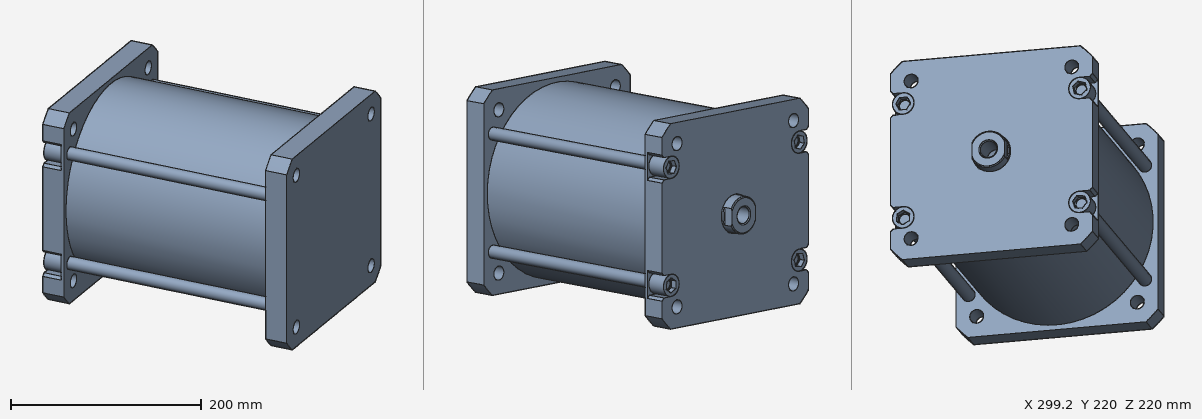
import cadquery as cq
import math

TOTAL_LENGTH = 299.2
PLATE_SIZE = 220.0
PLATE_THICKNESS = 24.8
CORNER_RADIUS = 146.5
MOUNT_HOLE_OFFSET = 87.5
MOUNT_HOLE_DIAMETER = 15.0

BARREL_DIAMETER = 209.5

ROD_PROTRUSION = 12.5
ROD_DIAMETER = 40.0
ROD_CHAMFER = 1.2
ROD_BORE_DIAMETER = 42.0
FLAT_WIDTH = 35.3
FLAT_LENGTH = 10.2
FLAT_SHOULDER_CHAMFER = 1.2
TAP_DIAMETER = 18.0
TAP_DEPTH = 36.0
TAP_CHAMFER = 1.2
DRILL_POINT_ANGLE = 118.0

BOLT_Y = 96.0
BOLT_Z = 63.0
BOLT_DIAMETER = 14.0
HEAD_DIAMETER = 23.3
HEAD_LENGTH = 21.5
SLOT_CHAMFER = 3.0
SLOT_WIDTH = 24.0
SOCKET_WIDTH = 13.8
SOCKET_DEPTH = 6.5
SOCKET_RELIEF_DIAMETER = 12.0
SOCKET_RELIEF_DEPTH = 1.2
BOLT_PLACES = [(-1, 1, 17.0), (-1, -1, 9.0), (1, 1, 2.0), (1, -1, 32.0)]

FRONT_FACE_X = ROD_PROTRUSION
BARREL_START_X = FRONT_FACE_X + PLATE_THICKNESS
BARREL_END_X = TOTAL_LENGTH - PLATE_THICKNESS
BARREL_LENGTH = BARREL_END_X - BARREL_START_X


def disc(x, diameter, length, y=0.0, z=0.0):
    """Cylinder along +X that starts at x."""
    start = cq.Workplane("YZ", origin=(x, y, z))
    return start.circle(diameter / 2).extrude(length)


def make_plate(x):
    """Square plate with turned corners and four mounting holes."""
    square = cq.Workplane("YZ", origin=(x, 0, 0)).rect(PLATE_SIZE, PLATE_SIZE).extrude(PLATE_THICKNESS)
    plate = square.intersect(disc(x, 2 * CORNER_RADIUS, PLATE_THICKNESS))
    spacing = 2 * MOUNT_HOLE_OFFSET
    holes = (
        cq.Workplane("YZ", origin=(x, 0, 0))
        .rect(spacing, spacing, forConstruction=True)
        .vertices()
        .circle(MOUNT_HOLE_DIAMETER / 2)
        .extrude(PLATE_THICKNESS)
    )
    return plate.cut(holes)


def make_head_slot(side_y, side_z):
    """Side-open pocket for a bolt head, with flared mouth, and its shank hole."""
    half_width = SLOT_WIDTH / 2
    edge_y = PLATE_SIZE / 2
    outline = (
        cq.Workplane("YZ", origin=(FRONT_FACE_X, 0, side_z * BOLT_Z))
        .moveTo(side_y * BOLT_Y, half_width)
        .lineTo(side_y * (edge_y - SLOT_CHAMFER), half_width)
        .lineTo(side_y * edge_y, half_width + SLOT_CHAMFER)
        .lineTo(side_y * edge_y, -half_width - SLOT_CHAMFER)
        .lineTo(side_y * (edge_y - SLOT_CHAMFER), -half_width)
        .lineTo(side_y * BOLT_Y, -half_width)
        .threePointArc((side_y * (BOLT_Y - half_width), 0), (side_y * BOLT_Y, half_width))
        .close()
    )
    pocket = outline.extrude(HEAD_LENGTH)
    shank_hole = disc(FRONT_FACE_X, BOLT_DIAMETER, PLATE_THICKNESS, side_y * BOLT_Y, side_z * BOLT_Z)
    return pocket.union(shank_hole)


def make_front_plate():
    plate = make_plate(FRONT_FACE_X)
    plate = plate.cut(disc(FRONT_FACE_X, ROD_BORE_DIAMETER, PLATE_THICKNESS))
    for side_y, side_z, _ in BOLT_PLACES:
        plate = plate.cut(make_head_slot(side_y, side_z))
    return plate


def make_piston_rod():
    """Rod tip with wrench flats, ending on the barrel."""
    rod = disc(0, ROD_DIAMETER, BARREL_START_X).faces("<X").chamfer(ROD_CHAMFER)

    shoulder = disc(FLAT_LENGTH, ROD_DIAMETER, BARREL_START_X - FLAT_LENGTH)
    shoulder = shoulder.faces("<X").chamfer(FLAT_SHOULDER_CHAMFER)
    flatted = cq.Workplane("XY").box(2 * BARREL_START_X, FLAT_WIDTH, ROD_DIAMETER)
    rod = rod.intersect(flatted.union(shoulder))

    tap_radius = TAP_DIAMETER / 2
    point_length = tap_radius / math.tan(math.radians(DRILL_POINT_ANGLE / 2))
    tapped_hole = (
        cq.Workplane("XY")
        .lineTo(0, tap_radius + TAP_CHAMFER)
        .lineTo(TAP_CHAMFER, tap_radius)
        .lineTo(TAP_DEPTH - point_length, tap_radius)
        .lineTo(TAP_DEPTH, 0)
        .close()
        .revolve(360, (0, 0, 0), (1, 0, 0))
    )
    return rod.cut(tapped_hole)


def make_tie_bolt(side_y, side_z, socket_turn):
    """Socket-head bolt from the front plate to the rear plate."""
    y = side_y * BOLT_Y
    z = side_z * BOLT_Z
    head = disc(FRONT_FACE_X, HEAD_DIAMETER, HEAD_LENGTH, y, z)
    shank = disc(FRONT_FACE_X, BOLT_DIAMETER, BARREL_END_X - FRONT_FACE_X, y, z)
    corner_diameter = SOCKET_WIDTH / math.cos(math.pi / 6)
    socket = (
        cq.Workplane("YZ", origin=(FRONT_FACE_X, y, z))
        .transformed(rotate=(0, 0, socket_turn))
        .polygon(6, corner_diameter)
        .extrude(SOCKET_DEPTH)
    )
    relief = disc(FRONT_FACE_X + SOCKET_DEPTH, SOCKET_RELIEF_DIAMETER, SOCKET_RELIEF_DEPTH, y, z)
    return head.union(shank).cut(socket).cut(relief)


front_plate = make_front_plate()
rear_plate = make_plate(BARREL_END_X)
barrel = disc(BARREL_START_X, BARREL_DIAMETER, BARREL_LENGTH)
piston_rod = make_piston_rod()
tie_bolts = [make_tie_bolt(*place) for place in BOLT_PLACES]

result = cq.Compound.makeCompound([
    front_plate.val(),
    rear_plate.val(),
    barrel.val(),
    piston_rod.val(),
    *[bolt.val() for bolt in tie_bolts],
])